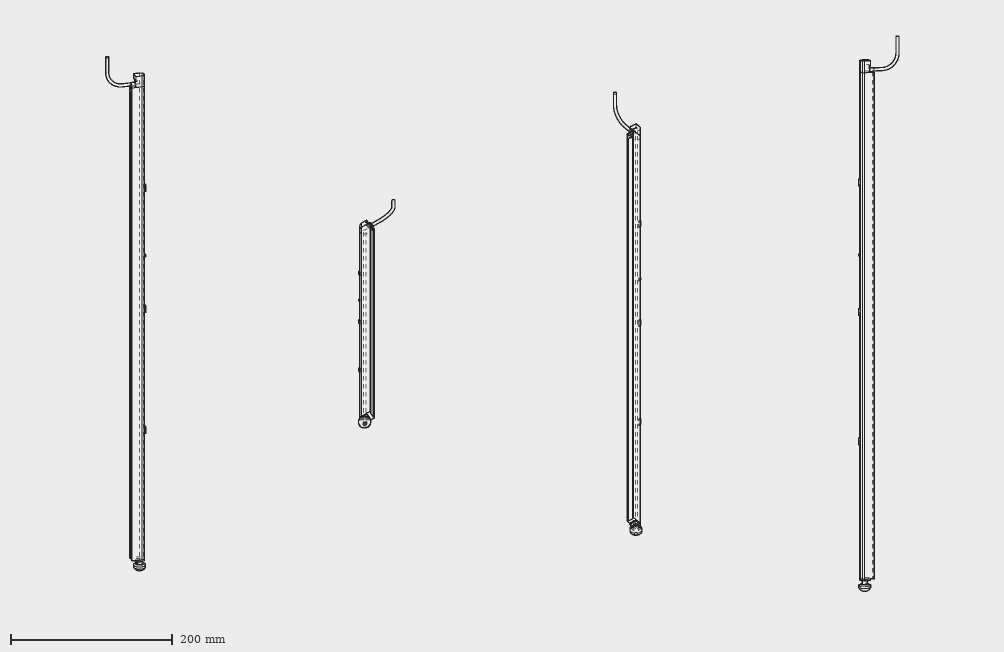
import cadquery as cq

BODY_WIDTH = 10.5
HALF_WIDTH = BODY_WIDTH / 2
SIDE_BACK_Y = 1.5
FACET_CORNER_X = 4.0
FACET_CORNER_Y = 4.0
BACK_FLAT_HALF_WIDTH = 2.0
BACK_FLAT_Y = 5.9

RAIL_FRONT_Y = -11.0
RAIL_BOTTOM_Z = 16.0
RAIL_TOP_Z = 651.5

CHANNEL_WIDTH = 6.0
CHANNEL_DEPTH = 1.0
BRIDGE_BOTTOM_Z = 643.0
BRIDGE_TOP_Z = 647.5

BLOCK_BACK_Y = 7.5
BLOCK_WIDTH = 2 * BACK_FLAT_HALF_WIDTH
LONG_BLOCK_LENGTH = 8.0
LONG_BLOCK_PITCH = 162.5
MIDDLE_BLOCK_Z = 351.0
SHORT_BLOCK_LENGTH = 2.0
SHORT_BLOCK_Z = 422.5

CAP_FRONT_Y = -6.0
CAP_TOP_Z = 666.0
FLANGE_BOTTOM_Z = 660.0
STEM_SETBACK = 1.0
STEM_CORNER_RADIUS = 1.5

CABLE_RADIUS = 2.0
CABLE_Z = 654.5
CABLE_END_Y = -42.0
CABLE_TOP_Z = 695.0
CABLE_BEND_RADIUS = 19.5
COLLAR_RADIUS = 2.4
COLLAR_FRONT_Y = RAIL_FRONT_Y

PLATE_BOTTOM_Z = 14.0
NECK_RADIUS = 3.1
SHOULDER_RADIUS = 5.0
SHOULDER_Z = 9.0
RIM_RADIUS = 7.5
RIM_TOP_Z = 7.5
RIM_BOTTOM_Z = 5.0
DOME_MIDDLE = (5.5, 2.0)
TIP_RADIUS = 2.0


def bar(front_y, bottom_z, top_z):
    """Upright bar with the shared faceted back and a flat front at front_y."""
    right_side = [
        (HALF_WIDTH, front_y),
        (HALF_WIDTH, SIDE_BACK_Y),
        (FACET_CORNER_X, FACET_CORNER_Y),
        (BACK_FLAT_HALF_WIDTH, BACK_FLAT_Y),
    ]
    left_side = [(-x, y) for x, y in reversed(right_side)]
    return (
        cq.Workplane("XY", origin=(0, 0, bottom_z))
        .polyline(right_side + left_side)
        .close()
        .extrude(top_z - bottom_z)
    )


def front_channel(bottom_z, top_z):
    """Cutter for one stretch of the channel in the rail front."""
    return (
        cq.Workplane("XZ", origin=(0, RAIL_FRONT_Y, (bottom_z + top_z) / 2))
        .rect(CHANNEL_WIDTH, top_z - bottom_z)
        .extrude(-CHANNEL_DEPTH)
    )


def block(centre_z, length):
    """Block standing out from the flat at the back of the rail."""
    return (
        cq.Workplane("XZ", origin=(0, BACK_FLAT_Y, centre_z))
        .rect(BLOCK_WIDTH, length)
        .extrude(BACK_FLAT_Y - BLOCK_BACK_Y)
    )


def make_rail():
    rail = bar(RAIL_FRONT_Y, RAIL_BOTTOM_Z, RAIL_TOP_Z)
    rail = rail.cut(front_channel(RAIL_BOTTOM_Z, BRIDGE_BOTTOM_Z))
    rail = rail.cut(front_channel(BRIDGE_TOP_Z, RAIL_TOP_Z))
    for step in (-1, 0, 1):
        rail = rail.union(block(MIDDLE_BLOCK_Z + step * LONG_BLOCK_PITCH, LONG_BLOCK_LENGTH))
    return rail.union(block(SHORT_BLOCK_Z, SHORT_BLOCK_LENGTH))


def cable():
    """Round cable swept forwards from inside the cap, round the bend and upwards."""
    bend_start_y = CABLE_END_Y + CABLE_BEND_RADIUS
    bend_end_z = CABLE_Z + CABLE_BEND_RADIUS
    path = (
        cq.Workplane("YZ")
        .moveTo(0, CABLE_Z)
        .lineTo(bend_start_y, CABLE_Z)
        .radiusArc((CABLE_END_Y, bend_end_z), CABLE_BEND_RADIUS)
        .lineTo(CABLE_END_Y, CABLE_TOP_Z)
    )
    return cq.Workplane("XZ", origin=(0, 0, CABLE_Z)).circle(CABLE_RADIUS).sweep(path)


def collar():
    """Sleeve round the cable where it leaves the cap."""
    return cq.Workplane("XZ", origin=(0, 0, CABLE_Z)).circle(COLLAR_RADIUS).extrude(-COLLAR_FRONT_Y)


def make_cap():
    flange = bar(CAP_FRONT_Y, FLANGE_BOTTOM_Z, CAP_TOP_Z)
    stem = bar(CAP_FRONT_Y + STEM_SETBACK, RAIL_TOP_Z, FLANGE_BOTTOM_Z)
    stem = stem.edges("|Z and <Y").fillet(STEM_CORNER_RADIUS)
    return flange.union(stem).union(collar()).union(cable())


def make_foot():
    plate = bar(CAP_FRONT_Y, PLATE_BOTTOM_Z, RAIL_BOTTOM_Z)
    pad = (
        cq.Workplane("XZ")
        .lineTo(TIP_RADIUS, 0)
        .threePointArc(DOME_MIDDLE, (RIM_RADIUS, RIM_BOTTOM_Z))
        .lineTo(RIM_RADIUS, RIM_TOP_Z)
        .lineTo(SHOULDER_RADIUS, SHOULDER_Z)
        .lineTo(NECK_RADIUS, SHOULDER_Z)
        .lineTo(NECK_RADIUS, PLATE_BOTTOM_Z)
        .lineTo(0, PLATE_BOTTOM_Z)
        .close()
        .revolve(360, (0, 0), (0, 1))
    )
    return plate.union(pad)


rail = make_rail()
cap = make_cap()
foot = make_foot()

result = cq.Compound.makeCompound([*rail.solids().vals(), *cap.solids().vals(), *foot.solids().vals()])